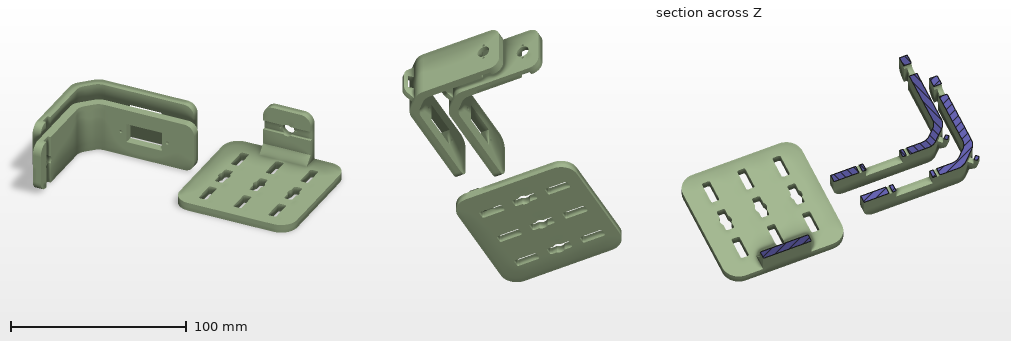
import cadquery as cq
import math

THICKNESS = 5.0
MOUNT_WIDTH = 30.0
MOUNT_CORNER_RADIUS = 6.2
HUB_HOLE_DIAMETER = 7.5
HUB_SCREW_DIAMETER = 1.5
HUB_SCREW_OFFSET = 4.9
HORN_GROOVE_WIDTH = 5.9
HORN_GROOVE_DEPTH = 2.0

DRILL_LENGTH = 2 * THICKNESS

LONG_LEG = 73.6
SHORT_LEG = 63.7
CORNER_CUT = 11.5
INNER_BEND_RADIUS = 7.5
OUTER_BEND_RADIUS = 8.3
HUB_FROM_LEG_END = 10.0
WINDOW_LENGTH = 22.6
WINDOW_HEIGHT = 11.9
WINDOW_CENTER_X = 42.1
WINDOW_SCREW_DIAMETER = 2.0
WINDOW_SCREW_SPACING = 29.4

CLIP_THICKNESS = 3.3
CLIP_REACH = 5.9
CLIP_BASE_HEIGHT = 24.4
CLIP_TIP_HEIGHT = 15.0
CLIP_CORNER_RADIUS = 6.0
CLIP_OPENING_HEIGHT = 8.8
CLIP_OPENING_REACH = 3.4

BRACKET_BOTTOM = 0.8
BRACKET_PLACES = [(0, 20.0), (9.9, 0)]

PLATE_WIDTH = 74.3
PLATE_DEPTH = 75.9
PLATE_LEFT = 88.2
PLATE_FRONT = 20.2
PLATE_CORNER_RADIUS = 10.0
TAB_TOP = 35.1
TAB_CENTER_X = 126.6
HUB_BELOW_TAB_TOP = 12.7
GUSSET_SIZE = 5.0
SLOT_WIDTH = 5.0
SLOT_LENGTH = 14.3
SLOT_CORNER_RADIUS = 1.0
SLOT_PITCH_X = 22.0
SLOT_PITCH_Y = 21.0
SLOT_CENTER_X = 125.6
SLOT_CENTER_Y = 56.0
SLOT_EYE_DIAMETER = 7.0
SLOT_EYE_OFFSET = 0.5


def cylinder_along(axis, center, diameter, length):
    """A cylinder whose axis passes through center and is centred on it."""
    start = cq.Vector(*center) - axis * (length / 2)
    return cq.Workplane(cq.Solid.makeCylinder(diameter / 2, length, start, axis))


def hub_holes(axis, across, center):
    """The hub hole and the small screw hole on either side of it."""
    holes = cylinder_along(axis, center, HUB_HOLE_DIAMETER, DRILL_LENGTH)
    for side in (-1, 1):
        screw_center = (cq.Vector(*center) + across * (side * HUB_SCREW_OFFSET)).toTuple()
        holes = holes.union(cylinder_along(axis, screw_center, HUB_SCREW_DIAMETER, DRILL_LENGTH))
    return holes


def bracket_strip():
    """The bent strip, with its outer sides on x = 0 and y = SHORT_LEG."""
    inner_cut = CORNER_CUT - THICKNESS * (2 - math.sqrt(2))
    strip = (
        cq.Workplane("XY")
        .moveTo(0, 0)
        .lineTo(0, SHORT_LEG - CORNER_CUT)
        .lineTo(CORNER_CUT, SHORT_LEG)
        .lineTo(LONG_LEG, SHORT_LEG)
        .lineTo(LONG_LEG, SHORT_LEG - THICKNESS)
        .lineTo(THICKNESS + inner_cut, SHORT_LEG - THICKNESS)
        .lineTo(THICKNESS, SHORT_LEG - THICKNESS - inner_cut)
        .lineTo(THICKNESS, 0)
        .close()
        .extrude(MOUNT_WIDTH)
    )
    middle = MOUNT_WIDTH / 2
    bends = [
        (0, SHORT_LEG - CORNER_CUT, OUTER_BEND_RADIUS),
        (CORNER_CUT, SHORT_LEG, OUTER_BEND_RADIUS),
        (THICKNESS + inner_cut, SHORT_LEG - THICKNESS, INNER_BEND_RADIUS),
        (THICKNESS, SHORT_LEG - THICKNESS - inner_cut, INNER_BEND_RADIUS),
    ]
    for x, y, radius in bends:
        strip = strip.edges(cq.NearestToPointSelector((x, y, middle))).fillet(radius)
    strip = strip.faces(">X").edges("|Y").fillet(MOUNT_CORNER_RADIUS)
    return strip.faces("<Y").edges("|X").fillet(MOUNT_CORNER_RADIUS)


def servo_window():
    """The rectangular window in the long leg and its two screw holes."""
    middle = MOUNT_WIDTH / 2
    leg_center_y = SHORT_LEG - THICKNESS / 2
    window = cq.Workplane("XY").box(WINDOW_LENGTH, DRILL_LENGTH, WINDOW_HEIGHT)
    window = window.translate((WINDOW_CENTER_X, leg_center_y, middle))
    for side in (-1, 1):
        screw_center = (WINDOW_CENTER_X + side * WINDOW_SCREW_SPACING / 2, leg_center_y, middle)
        window = window.union(
            cylinder_along(cq.Vector(0, 1, 0), screw_center, WINDOW_SCREW_DIAMETER, DRILL_LENGTH)
        )
    return window


def cable_clip():
    """A tapered loop standing square on the middle of the bracket's angled corner."""
    plane = cq.Plane(
        origin=(CORNER_CUT / 2, SHORT_LEG - CORNER_CUT / 2, MOUNT_WIDTH / 2),
        xDir=(-1, 1, 0),
        normal=(1, 1, 0),
    )
    clip = (
        cq.Workplane(plane)
        .moveTo(0, -CLIP_BASE_HEIGHT / 2)
        .lineTo(CLIP_REACH, -CLIP_TIP_HEIGHT / 2)
        .lineTo(CLIP_REACH, CLIP_TIP_HEIGHT / 2)
        .lineTo(0, CLIP_BASE_HEIGHT / 2)
        .close()
        .extrude(CLIP_THICKNESS / 2, both=True)
    )
    tip_face = cq.DirectionMinMaxSelector(cq.Vector(-1, 1, 0))
    tip_corners = cq.ParallelDirSelector(cq.Vector(1, 1, 0))
    clip = clip.faces(tip_face).edges(tip_corners).fillet(CLIP_CORNER_RADIUS)
    opening = (
        cq.Workplane(plane)
        .center(CLIP_OPENING_REACH / 2, 0)
        .rect(CLIP_OPENING_REACH, CLIP_OPENING_HEIGHT)
        .extrude(CLIP_THICKNESS, both=True)
    )
    return clip.cut(opening)


def bracket():
    """A bracket standing on z = 0."""
    horn_groove = cq.Workplane("XY").box(
        HORN_GROOVE_DEPTH, HORN_GROOVE_WIDTH, MOUNT_WIDTH, centered=(False, True, False)
    )
    horn_groove = horn_groove.translate((THICKNESS - HORN_GROOVE_DEPTH, HUB_FROM_LEG_END, 0))
    hub_center = (THICKNESS / 2, HUB_FROM_LEG_END, MOUNT_WIDTH / 2)
    return (
        bracket_strip()
        .union(cable_clip())
        .cut(servo_window())
        .cut(horn_groove)
        .cut(hub_holes(cq.Vector(1, 0, 0), cq.Vector(0, 0, 1), hub_center))
    )


def plate_slots():
    """A 3 x 3 grid of slots; each slot of the middle row is widened by a round eye."""
    slots = (
        cq.Workplane("XY")
        .center(SLOT_CENTER_X, SLOT_CENTER_Y)
        .rarray(SLOT_PITCH_X, SLOT_PITCH_Y, 3, 3)
        .rect(SLOT_WIDTH, SLOT_LENGTH)
        .extrude(THICKNESS)
        .edges("|Z")
        .fillet(SLOT_CORNER_RADIUS)
    )
    eyes = (
        cq.Workplane("XY")
        .center(SLOT_CENTER_X, SLOT_CENTER_Y + SLOT_EYE_OFFSET)
        .rarray(SLOT_PITCH_X, 1.6, 3, 1)
        .circle(SLOT_EYE_DIAMETER / 2)
        .extrude(THICKNESS)
    )
    return slots.union(eyes)


def upright_tab():
    """The tab along the plate's back edge, with its gusset, horn groove and hub holes."""
    back = PLATE_FRONT + PLATE_DEPTH
    face = back - THICKNESS
    hub_z = TAB_TOP - HUB_BELOW_TAB_TOP
    tab = (
        cq.Workplane("XY")
        .box(MOUNT_WIDTH, THICKNESS, TAB_TOP, centered=(True, False, False))
        .faces(">Z")
        .edges("|Y")
        .fillet(MOUNT_CORNER_RADIUS)
        .translate((TAB_CENTER_X, face, 0))
    )
    gusset = (
        cq.Workplane("YZ", origin=(TAB_CENTER_X, 0, 0))
        .moveTo(face, THICKNESS)
        .lineTo(face - GUSSET_SIZE, THICKNESS)
        .lineTo(face, THICKNESS + GUSSET_SIZE)
        .close()
        .extrude(MOUNT_WIDTH / 2, both=True)
    )
    horn_groove = cq.Workplane("XY").box(
        MOUNT_WIDTH, HORN_GROOVE_DEPTH, HORN_GROOVE_WIDTH, centered=(True, False, True)
    )
    horn_groove = horn_groove.translate((TAB_CENTER_X, face, hub_z))
    hub_center = (TAB_CENTER_X, back - THICKNESS / 2, hub_z)
    return (
        tab.union(gusset)
        .cut(horn_groove)
        .cut(hub_holes(cq.Vector(0, 1, 0), cq.Vector(1, 0, 0), hub_center))
    )


def slotted_plate():
    """The flat plate with rounded corners, its slots and its upright tab."""
    plate = (
        cq.Workplane("XY")
        .box(PLATE_WIDTH, PLATE_DEPTH, THICKNESS, centered=False)
        .edges("|Z")
        .fillet(PLATE_CORNER_RADIUS)
        .translate((PLATE_LEFT, PLATE_FRONT, 0))
    )
    return plate.cut(plate_slots()).union(upright_tab())


brackets = [bracket().translate((x, y, BRACKET_BOTTOM)) for x, y in BRACKET_PLACES]
plate = slotted_plate()

result = cq.Compound.makeCompound([*[body.val() for body in brackets], plate.val()])